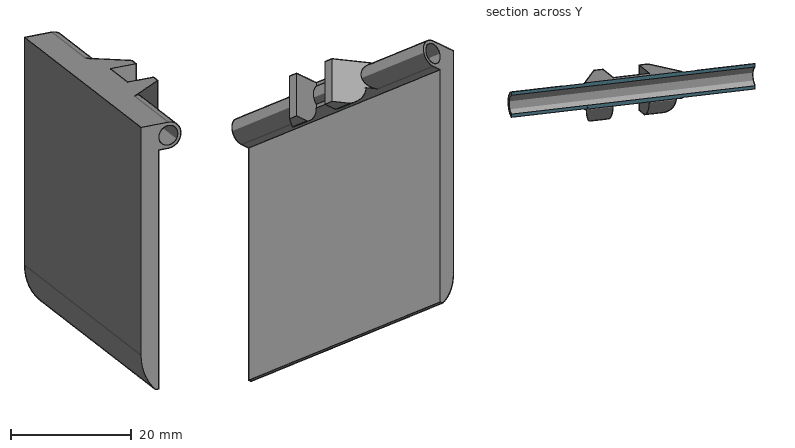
import cadquery as cq
import math

WIDTH = 43.18
HEIGHT = 47.62
PLATE_THICKNESS = 3.3
TIP_THICKNESS = 0.6
TIP_ROUND_HEIGHT = 6.7

TUBE_DIAMETER = 4.7
BORE_DIAMETER = 3.5
TUBE_RADIUS = TUBE_DIAMETER / 2
TUBE_BACK = 7.4
TUBE_Y = TUBE_BACK - TUBE_RADIUS
TUBE_Z = -TUBE_RADIUS

HOOK_BACK = 11.51
HOOK_FRONT = 6.7
HOOK_DEPTH = 7.9
HOOK_ROUND_RADIUS = 3.4
HOOK_GAP = 6.4
HOOK_TIP_HALF_WIDTH = 4.8
HOOK_ROOT_HALF_WIDTH = 9.1


def extrude_across(profile, width):
    """Extrude a YZ profile symmetrically about X = 0."""
    return profile.extrude(width / 2, both=True)


def make_plate():
    """Flat plate whose front face curves back to a thin bottom edge."""
    round_depth = PLATE_THICKNESS - TIP_THICKNESS
    round_radius = (round_depth**2 + TIP_ROUND_HEIGHT**2) / (2 * round_depth)
    half_angle = math.asin(TIP_ROUND_HEIGHT / round_radius) / 2
    round_top = TIP_ROUND_HEIGHT - HEIGHT
    round_middle = (
        round_radius * (1 - math.cos(half_angle)),
        round_top - round_radius * math.sin(half_angle),
    )
    profile = (
        cq.Workplane("YZ")
        .moveTo(0, 0)
        .lineTo(0, round_top)
        .threePointArc(round_middle, (round_depth, -HEIGHT))
        .lineTo(PLATE_THICKNESS, -HEIGHT)
        .lineTo(PLATE_THICKNESS, 0)
        .close()
    )
    return extrude_across(profile, WIDTH)


def make_tube():
    """Half-round tube body, squared off where it joins the plate."""
    profile = (
        cq.Workplane("YZ")
        .moveTo(0, 0)
        .lineTo(TUBE_Y, 0)
        .threePointArc((TUBE_BACK, TUBE_Z), (TUBE_Y, -TUBE_DIAMETER))
        .lineTo(0, -TUBE_DIAMETER)
        .close()
    )
    return extrude_across(profile, WIDTH)


def make_bore():
    """Round hole through the full length of the tube."""
    profile = cq.Workplane("YZ").center(TUBE_Y, TUBE_Z).circle(BORE_DIAMETER / 2)
    return extrude_across(profile, WIDTH)


def make_hooks():
    """Two tapered hooks, joined by a web around the tube; the gap leaves the tube whole."""
    taper = (
        cq.Workplane("XY")
        .polyline([
            (-HOOK_ROOT_HALF_WIDTH, TUBE_Y),
            (HOOK_ROOT_HALF_WIDTH, TUBE_Y),
            (HOOK_TIP_HALF_WIDTH, HOOK_BACK),
            (-HOOK_TIP_HALF_WIDTH, HOOK_BACK),
        ])
        .close()
        .extrude(-HOOK_DEPTH)
    )

    drop = HOOK_DEPTH - TUBE_DIAMETER
    arc_center_y = HOOK_FRONT + HOOK_ROUND_RADIUS
    end_angle = math.asin(drop / HOOK_ROUND_RADIUS)

    def arc_point(angle):
        return (
            arc_center_y - HOOK_ROUND_RADIUS * math.cos(angle),
            -TUBE_DIAMETER - HOOK_ROUND_RADIUS * math.sin(angle),
        )

    side = extrude_across(
        cq.Workplane("YZ")
        .moveTo(TUBE_Y, 0)
        .lineTo(TUBE_Y, -TUBE_DIAMETER)
        .lineTo(HOOK_FRONT, -TUBE_DIAMETER)
        .threePointArc(arc_point(end_angle / 2), arc_point(end_angle))
        .lineTo(HOOK_BACK, -HOOK_DEPTH)
        .lineTo(HOOK_BACK, 0)
        .close(),
        WIDTH,
    )

    gap = (
        cq.Workplane("XY")
        .box(HOOK_GAP, HOOK_BACK - HOOK_FRONT, HOOK_DEPTH, centered=(True, False, False))
        .translate((0, HOOK_FRONT, -HOOK_DEPTH))
    )
    return taper.intersect(side).cut(gap)


result = make_plate().union(make_tube()).union(make_hooks()).cut(make_bore())